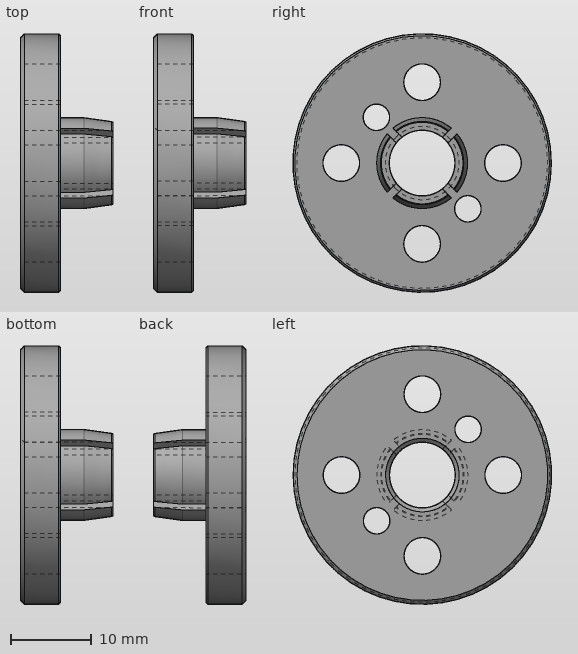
import cadquery as cq

flange_diameter = 32.0
flange_thickness = 5.0
front_chamfer = 0.5
back_chamfer = 0.25

total_length = 11.5
hub_radius = 5.625
hub_straight_length = 2.9
hub_tip_radius = 5.15
tip_chamfer_length = 0.2
tip_chamfer_depth = 0.1
slot_width = 1.0
blade_count = 2
first_slot_angle = 45.0

bore_diameter = 8.1
bore_chamfer = 0.5

bolt_hole_diameter = 4.5
bolt_circle_radius = 10.0
bolt_hole_count = 4
pin_hole_diameter = 3.24
pin_circle_radius = 8.0
pin_hole_count = 2
first_pin_angle = 135.0


def make_flange():
    disc = cq.Workplane("YZ").circle(flange_diameter / 2).extrude(flange_thickness)
    return disc.faces("<X").chamfer(front_chamfer).faces(">X").chamfer(back_chamfer)


def make_hub():
    """Revolved hub: a straight stretch, a conical taper and a chamfered tip."""
    taper_start = (flange_thickness + hub_straight_length, hub_radius)
    taper_end = (total_length - tip_chamfer_length, hub_tip_radius)
    profile = (
        cq.Workplane("XY")
        .lineTo(0, hub_radius)
        .lineTo(*taper_start)
        .lineTo(*taper_end)
        .lineTo(total_length, hub_tip_radius - tip_chamfer_depth)
        .lineTo(total_length, 0)
        .close()
    )
    return profile.revolve(360, (0, 0, 0), (1, 0, 0))


def make_slots():
    """Crossed blades that split the hub into equal fingers down to the flange."""
    slot_length = total_length - flange_thickness
    blades = cq.Workplane("YZ")
    for index in range(blade_count):
        blade = (
            cq.Workplane("YZ", origin=(flange_thickness, 0, 0))
            .rect(flange_diameter, slot_width)
            .extrude(slot_length)
            .rotate((0, 0, 0), (1, 0, 0), first_slot_angle + index * 180 / blade_count)
        )
        blades = blades.add(blade)
    return blades.combine()


def make_bore():
    """Through bore with a countersunk mouth on the flange face."""
    bore = cq.Workplane("YZ").circle(bore_diameter / 2).extrude(total_length)
    mouth = cq.Solid.makeCone(
        bore_diameter / 2 + bore_chamfer,
        bore_diameter / 2,
        bore_chamfer,
        dir=cq.Vector(1, 0, 0),
    )
    return bore.union(cq.Workplane(obj=mouth))


def make_hole_ring(diameter, circle_radius, count, first_angle):
    return (
        cq.Workplane("YZ")
        .polarArray(circle_radius, first_angle, 360, count)
        .circle(diameter / 2)
        .extrude(flange_thickness)
    )


bolt_holes = make_hole_ring(bolt_hole_diameter, bolt_circle_radius, bolt_hole_count, 0)
pin_holes = make_hole_ring(pin_hole_diameter, pin_circle_radius, pin_hole_count, first_pin_angle)

result = make_flange().union(make_hub())
for cutter in (make_bore(), make_slots(), bolt_holes, pin_holes):
    result = result.cut(cutter)